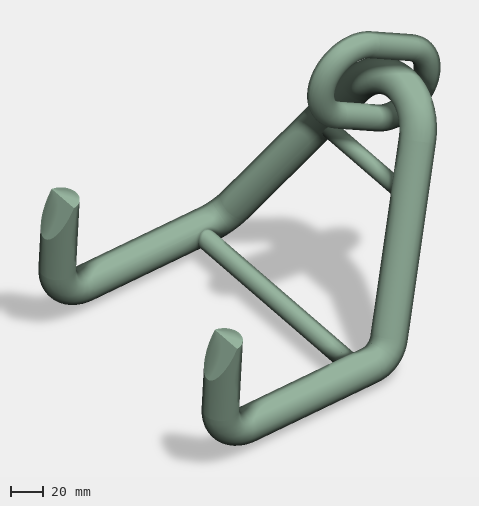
import cadquery as cq
import math

ROD_DIAMETER = 23.0
LEG_SPACING = 166.8
LEG_LENGTH = 93.2
ELBOW_JOINT_FRACTION = 0.48
HOOK_BEND_RADIUS = 21.0
ELBOW_RADIUS = 20.1
HOOK_BEND_ANGLE = 93
HOOK_TOP = 76.0
HOOK_FLAT = 10.0
BEVEL_ANGLE = 60
SLOPE_ANGLE = 60
ARCH_HALF_ANGLE = 22.5
ARCH_RADIUS = 34.5

LOWER_BAR_DIAMETER = 13.0
LOWER_BAR_LENGTH = 138.5
LOWER_BAR_SETBACK = 8.9
UPPER_BAR_DIAMETER = 11.0
UPPER_BAR_HEIGHT = 79.0

LINK_DIAMETER = 16.5
LINK_BEND_RADIUS = 25.2
LINK_STRAIGHT = 35.7
LINK_TILT = 90 - SLOPE_ANGLE
LINK_CENTRE_Y = 65.0
LINK_CENTRE_Z = 137.8

leg_x = LEG_SPACING / 2
rod_radius = ROD_DIAMETER / 2
slope = math.radians(SLOPE_ANGLE)
half_angle = math.radians(ARCH_HALF_ANGLE)
hook_angle = math.radians(HOOK_BEND_ANGLE)

uphill = cq.Vector(0, math.cos(slope), math.sin(slope))
across = cq.Vector(1, 0, 0)
along_leg = cq.Vector(0, 1, 0)
side_direction = uphill * math.cos(half_angle) + across * math.sin(half_angle)
elbow_angle = along_leg.getAngle(side_direction)
elbow_tangent = ELBOW_RADIUS * math.tan(elbow_angle / 2)

elbow_start = cq.Vector(-leg_x, 0, 0)
elbow_corner = elbow_start + along_leg * elbow_tangent
elbow_end = elbow_corner + side_direction * elbow_tangent

arch_height = (leg_x * math.cos(half_angle) - ARCH_RADIUS * (1 - math.sin(half_angle))) / math.sin(half_angle)
slope_base = cq.Vector(0, elbow_tangent, 0)
arch_centre = slope_base + uphill * (arch_height - ARCH_RADIUS)
arch_top = slope_base + uphill * arch_height
arch_start = (
    arch_centre - across * (ARCH_RADIUS * math.cos(half_angle)) + uphill * (ARCH_RADIUS * math.sin(half_angle))
)


def mirrored(point):
    """The matching point on the other side of the part."""
    return cq.Vector(-point.x, point.y, point.z)


def elbow_point(fraction):
    """Point on the elbow bend after the given fraction of its turn."""
    inward = (side_direction - along_leg).normalized()
    centre = elbow_corner + inward * (ELBOW_RADIUS / math.cos(elbow_angle / 2))
    start_radial = (elbow_start - centre).normalized()
    turn = elbow_angle * fraction
    return centre + (start_radial * math.cos(turn) + along_leg * math.sin(turn)) * ELBOW_RADIUS


def hook_point(angle):
    """Point on the hook bend after turning through angle."""
    return cq.Vector(
        -leg_x,
        -LEG_LENGTH - HOOK_BEND_RADIUS * math.sin(angle),
        HOOK_BEND_RADIUS * (1 - math.cos(angle)),
    )


hook_direction = cq.Vector(0, -math.cos(hook_angle), math.sin(hook_angle))
hook_end = hook_point(hook_angle)
tip_length = (HOOK_TOP + ROD_DIAMETER - hook_end.z) / hook_direction.z
hook_tip = hook_end + hook_direction * tip_length

elbow_joint = elbow_point(ELBOW_JOINT_FRACTION)


def sweep_rod(edges, start, direction):
    """Round rod along connected edges, from its end at start."""
    section = cq.Plane(origin=start, xDir=across, normal=direction)
    path = cq.Workplane(cq.Wire.assembleEdges(edges))
    return cq.Workplane(section).circle(rod_radius).sweep(path)


def cross_cylinder(diameter, length, y, z):
    """Cylinder along X, centred between the legs."""
    return cq.Workplane("YZ", origin=(-length / 2, y, z)).circle(diameter / 2).extrude(length)


def hook_trim():
    """Side profile above the level hook ends and in front of their bevels."""
    back_y = hook_end.y + hook_direction.y * (HOOK_TOP - hook_end.z) / hook_direction.z
    back_y += rod_radius / hook_direction.z
    bevel_y = back_y - HOOK_FLAT
    drop = 2 * ROD_DIAMETER
    bevel_foot = (bevel_y - drop / math.tan(math.radians(BEVEL_ANGLE)), HOOK_TOP - drop)
    clear_z = HOOK_TOP + 2 * ROD_DIAMETER
    return (
        cq.Workplane("YZ")
        .polyline([
            (back_y + rod_radius, HOOK_TOP),
            (bevel_y, HOOK_TOP),
            bevel_foot,
            (bevel_foot[0], clear_z),
            (back_y + rod_radius, clear_z),
        ])
        .close()
        .extrude(leg_x + ROD_DIAMETER, both=True)
    )


def make_hook(right_side):
    """Hook, level leg, bar stub and lower part of the elbow, on either side."""
    leg_end = cq.Vector(-leg_x, -LEG_LENGTH, 0)
    edges = [
        cq.Edge.makeLine(hook_tip, hook_end),
        cq.Edge.makeThreePointArc(hook_end, hook_point(hook_angle / 2), leg_end),
        cq.Edge.makeLine(leg_end, elbow_start),
        cq.Edge.makeThreePointArc(elbow_start, elbow_point(ELBOW_JOINT_FRACTION / 2), elbow_joint),
    ]
    rod = sweep_rod(edges, hook_tip, hook_direction * -1).cut(hook_trim())
    stub = (
        cq.Workplane("YZ", origin=(-leg_x, -LOWER_BAR_SETBACK, 0))
        .circle(LOWER_BAR_DIAMETER / 2)
        .extrude(leg_x - LOWER_BAR_LENGTH / 2)
    )
    hook = rod.union(stub)
    return hook.mirror("YZ") if right_side else hook


def make_arch():
    """Arch with the upper part of each elbow and the upper cross bar."""
    upper_elbow = elbow_point((1 + ELBOW_JOINT_FRACTION) / 2)
    left = [
        cq.Edge.makeThreePointArc(elbow_joint, upper_elbow, elbow_end),
        cq.Edge.makeLine(elbow_end, arch_start),
    ]
    top = cq.Edge.makeThreePointArc(arch_start, arch_top, mirrored(arch_start))
    right = [edge.mirror("YZ") for edge in reversed(left)]
    rod = sweep_rod(left + [top] + right, elbow_joint, left[0].tangentAt(0))
    bar_climb = UPPER_BAR_HEIGHT / math.sin(slope)
    bar_y = elbow_tangent + bar_climb * math.cos(slope)
    bar_length = LEG_SPACING - 2 * bar_climb * math.tan(half_angle)
    return rod.union(cross_cylinder(UPPER_BAR_DIAMETER, bar_length, bar_y, UPPER_BAR_HEIGHT))


def make_link():
    """Oval chain link hanging round the arch top, square to the arch plane."""
    half = LINK_STRAIGHT / 2
    plane = cq.Plane(origin=(0, LINK_CENTRE_Y, LINK_CENTRE_Z), xDir=(0, -1, 0), normal=(1, 0, 0))
    plane = plane.rotated((0, 0, -LINK_TILT))
    path = (
        cq.Workplane(plane)
        .moveTo(0, LINK_BEND_RADIUS)
        .lineTo(half, LINK_BEND_RADIUS)
        .threePointArc((half + LINK_BEND_RADIUS, 0), (half, -LINK_BEND_RADIUS))
        .lineTo(-half, -LINK_BEND_RADIUS)
        .threePointArc((-half - LINK_BEND_RADIUS, 0), (-half, LINK_BEND_RADIUS))
        .close()
    )
    start = plane.toWorldCoords((0, LINK_BEND_RADIUS))
    section = cq.Plane(origin=start, xDir=(1, 0, 0), normal=plane.xDir)
    return cq.Workplane(section).circle(LINK_DIAMETER / 2).sweep(path)


hooks = [make_hook(right_side).solids().val() for right_side in (False, True)]
arch = make_arch().solids().val()
lower_bar = cross_cylinder(LOWER_BAR_DIAMETER, LOWER_BAR_LENGTH, -LOWER_BAR_SETBACK, 0).val()
link = make_link().val()

result = cq.Compound.makeCompound([*hooks, arch, lower_bar, link])